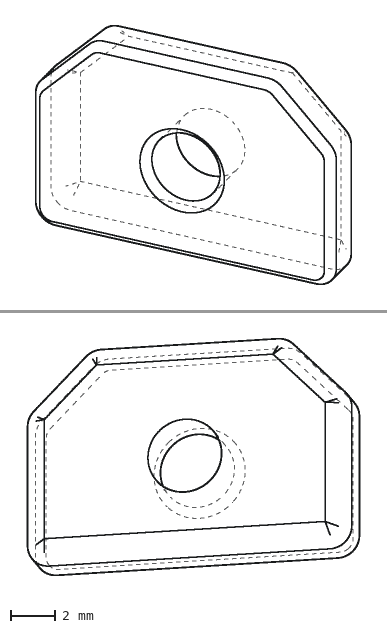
import cadquery as cq
import math

width = 15
thickness = 3
height = 10.0

corner_radius = 1.0
top_corner_cut = 3
back_bevel = corner_radius
front_chamfer = 0.4

hole_diameter = 3.4
hole_center_height = 4.5
countersink_diameter = hole_diameter + 2 * front_chamfer

back_y = thickness / 2
front_y = -thickness / 2


def plane_at(y):
    """Workplane parallel to XZ whose extrusions run toward the front."""
    return cq.Workplane("XZ", origin=(0, y, 0))


def core_outline(y):
    """Sharp outline joining the centers of the rounded corners."""
    half_width = width / 2 - corner_radius
    half_height = height / 2 - corner_radius
    cut = top_corner_cut - corner_radius * (2 - math.sqrt(2))
    return plane_at(y).polyline([
        (-half_width, -half_height),
        (half_width, -half_height),
        (half_width, half_height - cut),
        (half_width - cut, half_height),
        (-half_width + cut, half_height),
        (-half_width, half_height - cut),
    ]).close()


bevel_end_y = back_y - back_bevel
body = (
    core_outline(bevel_end_y)
    .offset2D(corner_radius, "arc")
    .extrude(thickness - back_bevel)
    .faces("<Y")
    .edges()
    .chamfer(front_chamfer)
)

bevel = core_outline(back_y).extrude(back_bevel, taper=-45)

hole_center_z = hole_center_height - height / 2
hole = (
    plane_at(back_y)
    .center(0, hole_center_z)
    .circle(hole_diameter / 2)
    .extrude(thickness)
)
countersink = cq.Workplane(cq.Solid.makeCone(
    countersink_diameter / 2,
    hole_diameter / 2,
    front_chamfer,
    pnt=cq.Vector(0, front_y, hole_center_z),
    dir=cq.Vector(0, 1, 0),
))

result = body.union(bevel).cut(hole).cut(countersink)